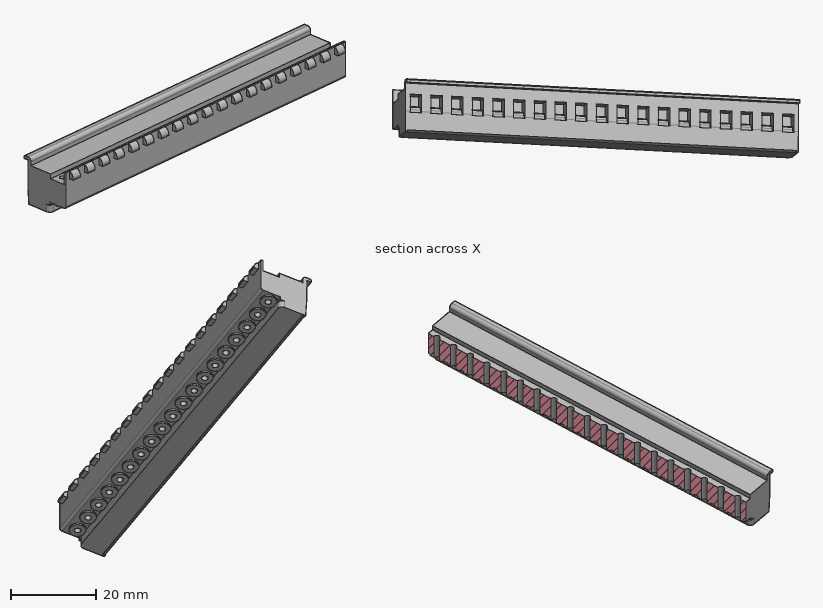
import cadquery as cq
import math

length = 95.0
pole_count = 19
pitch = length / pole_count
depth = 14.7
height = 12.35

wall_x = 1.2
draft_top_z = 4.8
foot_x = 1.5
foot_back_x = 8.4
underside_z = 2.85
back_x = 13.6
back_corner_radius = 0.7
rear_wall_thickness = 0.6
ledge_z = 9.1
step_x = 8.6
deck_z = 10.4

lip_back_x = 2.3
lip_bend_radius = 0.95
lip_underside_z = 11.5
lip_tip_chamfer = 0.3

foot_corner_radius = 1.1
foot_corner_height = 2.0

relief_height = 0.4
relief_depth = 0.8
relief_end_margin = 0.5

window_width = 2.8
window_top_z = 8.9
window_bottom_z = 4.6
window_back_x = 4.1
sill_x = 2.7
sill_top_z = 6.3
sill_lip_height = 0.2
ramp_bottom_x = 2.5
ramp_bottom_z = 5.5
scoop_radius = 1.5

hole_x = 10.2
hole_diameter = 1.5
boss_diameter = 4.0
boss_bottom_z = 2.4

hook_width = 2.5
hook_bottom_z = 10.4
hook_nose_z = 10.7
hook_radius = 1.9

pole_positions = [(i - (pole_count - 1) / 2) * pitch for i in range(pole_count)]


def extrude_along_y(profile, width, y_center=0.0):
    """Extrude a closed XZ profile symmetrically about y_center."""
    return profile.extrude(width / 2, both=True).translate((0, y_center, 0))


def make_body():
    diagonal = math.sqrt(0.5)
    bend_x = lip_back_x - lip_bend_radius
    bend_z = height - lip_bend_radius
    bend_mid = (bend_x + lip_bend_radius * diagonal, bend_z + lip_bend_radius * diagonal)
    rear_wall_x = back_x - rear_wall_thickness
    profile = (
        cq.Workplane("XZ")
        .moveTo(foot_x, 0)
        .lineTo(foot_back_x, 0)
        .lineTo(foot_back_x, underside_z)
        .lineTo(back_x - back_corner_radius, underside_z)
        .radiusArc((back_x, underside_z + back_corner_radius), -back_corner_radius)
        .lineTo(back_x, height)
        .lineTo(rear_wall_x, height)
        .lineTo(rear_wall_x, ledge_z)
        .lineTo(step_x, ledge_z)
        .lineTo(step_x, deck_z)
        .lineTo(lip_back_x, deck_z)
        .lineTo(lip_back_x, bend_z)
        .threePointArc(bend_mid, (bend_x, height))
        .lineTo(lip_tip_chamfer, height)
        .lineTo(0, height - lip_tip_chamfer)
        .lineTo(0, lip_underside_z)
        .lineTo(wall_x, lip_underside_z)
        .lineTo(wall_x, draft_top_z)
        .close()
    )
    return extrude_along_y(profile, length)


def make_foot_corner_cut(end):
    """Waste outside the rounded foot corner at one end (end = -1 or 1)."""
    r = foot_corner_radius
    block = cq.Workplane("XY").rect(r, r).extrude(foot_corner_height)
    block = block.translate((foot_back_x - r / 2, end * (length - r) / 2, 0))
    post = cq.Workplane("XY").circle(r).extrude(foot_corner_height)
    post = post.translate((foot_back_x - r, end * (length / 2 - r), 0))
    return block.cut(post)


def make_edge_relief():
    profile = (
        cq.Workplane("XZ")
        .moveTo(0, 0)
        .lineTo(foot_x + relief_depth, 0)
        .lineTo(foot_x, relief_height)
        .lineTo(0, relief_height)
        .close()
    )
    return extrude_along_y(profile, length - 2 * relief_end_margin)


def make_window(y):
    """Wire entry: a deep slot above a sill that scoops down to the front wall."""
    profile = (
        cq.Workplane("XZ")
        .moveTo(0, window_bottom_z)
        .lineTo(wall_x, window_bottom_z)
        .radiusArc((ramp_bottom_x, ramp_bottom_z), -scoop_radius)
        .lineTo(sill_x, sill_top_z - sill_lip_height)
        .lineTo(sill_x, sill_top_z)
        .lineTo(window_back_x, sill_top_z)
        .lineTo(window_back_x, window_top_z)
        .lineTo(0, window_top_z)
        .close()
    )
    return extrude_along_y(profile, window_width, y)


def make_hook(y):
    profile = (
        cq.Workplane("XZ")
        .moveTo(back_x, hook_bottom_z)
        .lineTo(depth, hook_bottom_z)
        .lineTo(depth, hook_nose_z)
        .radiusArc((back_x, height), -hook_radius)
        .close()
    )
    return extrude_along_y(profile, hook_width, y)


def make_boss(y):
    boss_height = ledge_z - boss_bottom_z
    return (
        cq.Workplane("XY", origin=(hole_x, y, boss_bottom_z))
        .circle(boss_diameter / 2)
        .extrude(boss_height)
    )


def make_screw_hole(y):
    return (
        cq.Workplane("XY", origin=(hole_x, y, 0))
        .circle(hole_diameter / 2)
        .extrude(height)
    )


result = make_body().cut(make_edge_relief())
for end in (-1, 1):
    result = result.cut(make_foot_corner_cut(end))
for y in pole_positions:
    result = result.union(make_hook(y)).union(make_boss(y))
for y in pole_positions:
    result = result.cut(make_window(y)).cut(make_screw_hole(y))